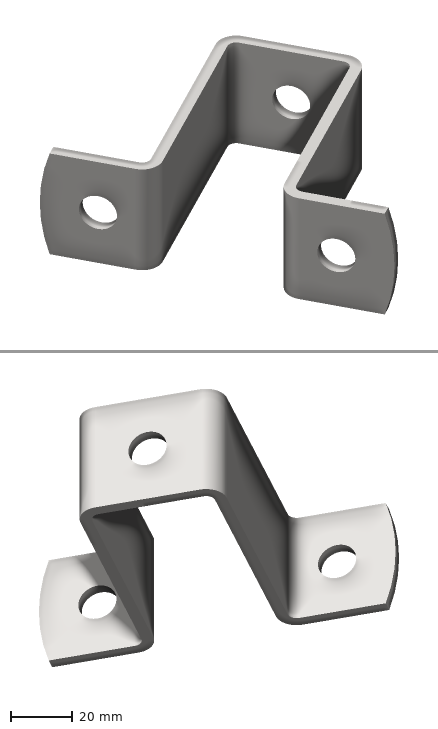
import cadquery as cq

length = 122.0
depth = 84.0
strip_width = 40.0

thickness = 4.0
inner_bend_radius = 3.0
outer_bend_radius = inner_bend_radius + thickness
channel_width = 50.0

hole_diameter = 13.0
flange_hole_offset = 41.0

half_length = length / 2
half_channel = channel_width / 2
half_inside = half_channel - thickness
flange_back_y = thickness


def make_strip():
    """Bend the hat-shaped strip, with the flange faces on Y = 0 and centred on Z = 0."""
    outline = [
        (-half_length, 0),
        (-half_inside, 0),
        (-half_inside, depth - thickness),
        (half_inside, depth - thickness),
        (half_inside, 0),
        (half_length, 0),
        (half_length, flange_back_y),
        (half_channel, flange_back_y),
        (half_channel, depth),
        (-half_channel, depth),
        (-half_channel, flange_back_y),
        (-half_length, flange_back_y),
    ]
    strip = cq.Workplane("XY").polyline(outline).close().extrude(strip_width / 2, both=True)

    outer_corners = [(half_inside, 0), (half_channel, depth)]
    inner_corners = [(half_channel, flange_back_y), (half_inside, depth - thickness)]
    strip = round_corners(strip, outer_corners, outer_bend_radius)
    return round_corners(strip, inner_corners, inner_bend_radius)


def round_corners(body, corners, radius):
    """Fillet the upright edges at the given corners on both sides of the channel."""
    for x, y in corners:
        for side in (-1, 1):
            edge = cq.selectors.NearestToPointSelector((side * x, y, 0))
            body = body.edges("|Z").edges(edge).fillet(radius)
    return body


def cylinder_along_y(diameter, x=0):
    """Cylinder through the full depth of the bracket."""
    return cq.Workplane("XZ").center(x, 0).circle(diameter / 2).extrude(-depth)


result = make_strip().intersect(cylinder_along_y(length))

for hole_x in (-flange_hole_offset, 0, flange_hole_offset):
    result = result.cut(cylinder_along_y(hole_diameter, hole_x))